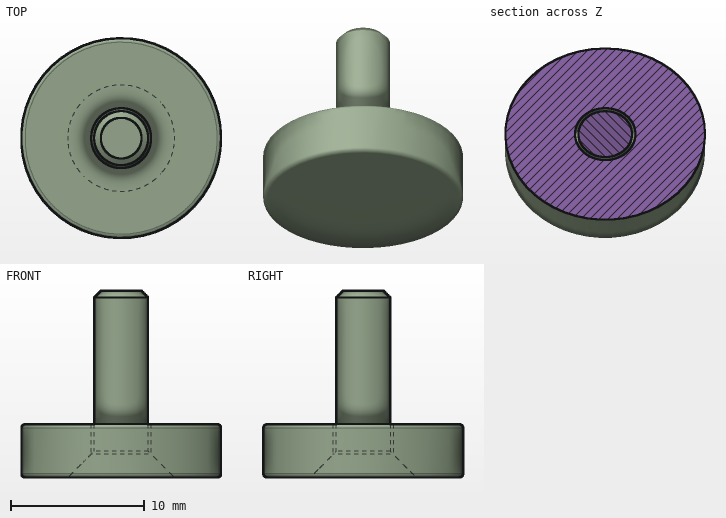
import cadquery as cq

disc_diameter = 15.0
disc_height = 4.0
disc_edge_radius = 0.3
bore_diameter = 4.5

total_height = 14.0
stud_diameter = 4.05
tip_chamfer = 0.5

head_diameter = 8.0
head_cone_height = (head_diameter - stud_diameter) / 2
seat_height = (head_diameter - bore_diameter) / 2


def make_disc():
    """Round disc with rounded rims, a clearance bore and a conical seat below it."""
    blank = (
        cq.Workplane("XY")
        .circle(disc_diameter / 2)
        .extrude(disc_height)
        .edges()
        .fillet(disc_edge_radius)
    )
    bore_and_seat = (
        cq.Workplane("XZ")
        .lineTo(head_diameter / 2, 0)
        .lineTo(bore_diameter / 2, seat_height)
        .lineTo(bore_diameter / 2, disc_height)
        .lineTo(0, disc_height)
        .close()
        .revolve(360, (0, 0, 0), (0, 1, 0))
    )
    return blank.cut(bore_and_seat)


def make_stud():
    """Countersunk stud: conical head, plain shank and chamfered tip."""
    stud_radius = stud_diameter / 2
    return (
        cq.Workplane("XZ")
        .lineTo(head_diameter / 2, 0)
        .lineTo(stud_radius, head_cone_height)
        .lineTo(stud_radius, total_height - tip_chamfer)
        .lineTo(stud_radius - tip_chamfer, total_height)
        .lineTo(0, total_height)
        .close()
        .revolve(360, (0, 0, 0), (0, 1, 0))
    )


disc = make_disc()
stud = make_stud()

result = cq.Compound.makeCompound([disc.val(), stud.val()])